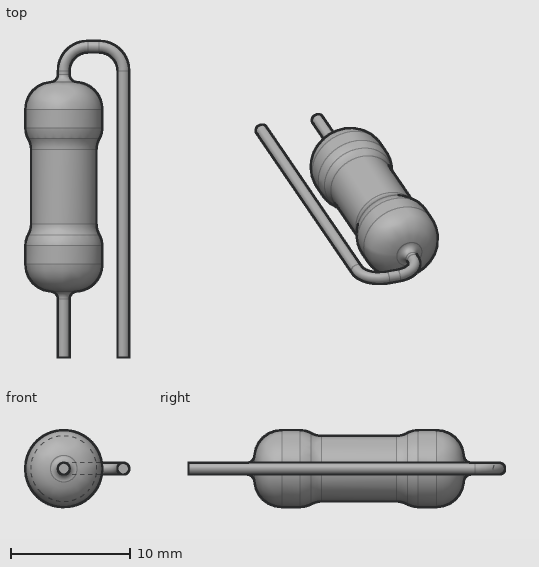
import cadquery as cq
import math

total_length = 26.6
lead_radius = 0.5
lead_spacing = 5.0
bend_radius = 4 * lead_radius

body_start = 5.53
body_length = 17.6
cap_radius = 3.25
waist_radius = 2.77
cap_corner_radius = 2.31
cap_straight_length = 1.55
transition_length = 1.8
neck_fillet_radius = 0.6

body_end = body_start + body_length
body_middle = body_start + body_length / 2


def make_half_body():
    """Lower half of the body: neck fillet, rounded cap, S-shaped transition and half the waist."""
    corner_end = body_start + cap_corner_radius
    cap_end = corner_end + cap_straight_length
    transition_middle = cap_end + transition_length / 2
    waist_start = cap_end + transition_length
    face_radius = cap_radius - cap_corner_radius

    flare_radius = lead_radius + neck_fillet_radius
    corner_drop = flare_radius - face_radius
    flare_end = corner_end - math.sqrt(cap_corner_radius**2 - corner_drop**2)
    neck_start = flare_end - neck_fillet_radius
    diagonal = math.sqrt(0.5)
    flare_middle = (
        flare_radius - neck_fillet_radius * diagonal,
        neck_start + neck_fillet_radius * diagonal,
    )

    arc_length = transition_length / 2
    arc_step = (cap_radius - waist_radius) / 2
    arc_radius = (arc_length**2 + arc_step**2) / (2 * arc_step)

    return (
        cq.Workplane("XY")
        .moveTo(0, neck_start)
        .lineTo(lead_radius, neck_start)
        .threePointArc(flare_middle, (flare_radius, flare_end))
        .radiusArc((cap_radius, corner_end), -cap_corner_radius)
        .lineTo(cap_radius, cap_end)
        .radiusArc((cap_radius - arc_step, transition_middle), -arc_radius)
        .radiusArc((waist_radius, waist_start), arc_radius)
        .lineTo(waist_radius, body_middle)
        .lineTo(0, body_middle)
        .close()
        .revolve(360, (0, 0, 0), (0, 1, 0))
    )


def make_body():
    """Full body, symmetric about its middle."""
    lower_half = make_half_body()
    upper_half = lower_half.mirror("XZ", (0, body_middle, 0))
    return lower_half.union(upper_half)


def make_lead():
    """One round wire along the body axis, over the top and back down beside the body."""
    bend_start = total_length - lead_radius - bend_radius
    wire_top = bend_start + bend_radius
    path = (
        cq.Workplane("XY")
        .lineTo(0, bend_start)
        .radiusArc((bend_radius, wire_top), bend_radius)
        .lineTo(lead_spacing - bend_radius, wire_top)
        .radiusArc((lead_spacing, bend_start), bend_radius)
        .lineTo(lead_spacing, 0)
    )
    return cq.Workplane("XZ").circle(lead_radius).sweep(path)


result = make_body().union(make_lead())